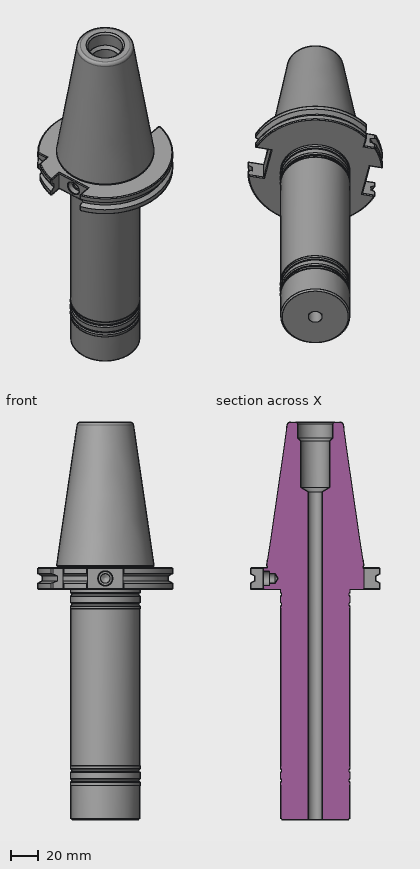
import cadquery as cq
import math

total_height = 286.5

taper_rate = 7 / 24
gauge_diameter = 70.0
gauge_height = 185.0
taper_bottom = 183.0
taper_edge_fillet = 2.5

undercut_depth = 0.5

flange_diameter = 97.5
flange_top = 181.7
flange_thickness = 15.8
flange_bottom = flange_top - flange_thickness
flange_edge_chamfer = 0.72

groove_height = 174.0
groove_floor_diameter = 91.0
groove_floor_width = 3.5
groove_flank_angle = 30.0

slot_width = 25.8
slot_floor_back = 35.3
slot_floor_front = 37.5
notch_wall_x = 30.5
notch_wall_y = 29.8

side_hole_height = groove_height
side_mouth_diameter = 11.0
side_counterbore_diameter = 10.0
side_counterbore_depth = 4.5
side_hole_diameter = 7.0
side_hole_depth = 8.5
drill_point_angle = 118.0

shank_diameter = 50.0
shank_end_chamfer = 1.1
band_diameter = 50.5
upper_band = (152.0, flange_bottom + flange_thickness / 2)
lower_band = (24.6, 39.3)
ring_groove_heights = (162.5, 155.3, 35.5, 28.5)
ring_groove_width = 3.0
ring_groove_floor_width = 1.1
ring_groove_depth = 1.0

bore_mouth_diameter = 27.5
counterbore_diameter = 25.0
counterbore_depth = 11.5
thread_hole_diameter = 20.5
thread_hole_depth = 47.0
through_hole_diameter = 10.0


def cone_height(large_diameter, small_diameter, included_angle):
    """Height of a cone between two diameters."""
    return (large_diameter - small_diameter) / 2 / math.tan(math.radians(included_angle / 2))


def revolve_profile(points):
    """Solid of revolution about Z from (radius, height) points."""
    return cq.Workplane("XZ").polyline(points).close().revolve(360, (0, 0), (0, 1))


def cylinder(diameter, bottom, top):
    return cq.Workplane("XY").workplane(offset=bottom).circle(diameter / 2).extrude(top - bottom)


def make_taper():
    gauge_radius = gauge_diameter / 2
    top_radius = gauge_radius - (total_height - gauge_height) * taper_rate / 2
    bottom_radius = gauge_radius + (gauge_height - taper_bottom) * taper_rate / 2
    neck_radius = bottom_radius - undercut_depth
    neck_top = taper_bottom - undercut_depth
    taper = revolve_profile([
        (0, flange_bottom),
        (neck_radius, flange_bottom),
        (neck_radius, neck_top),
        (bottom_radius, taper_bottom),
        (top_radius, total_height),
        (0, total_height),
    ])
    return taper.faces(">Z").edges().fillet(taper_edge_fillet)


def make_flange():
    rim = flange_diameter / 2
    flange = cylinder(flange_diameter, flange_bottom, flange_top)

    def rim_cut(x_min, x_max, y_min, y_max):
        return (
            cq.Workplane("XY")
            .box(x_max - x_min, y_max - y_min, flange_thickness, centered=False)
            .translate((x_min, y_min, flange_bottom))
        )

    flange = flange.cut(rim_cut(-slot_width / 2, slot_width / 2, slot_floor_back, rim))
    flange = flange.cut(rim_cut(-slot_width / 2, slot_width / 2, -rim, -slot_floor_front))
    flange = flange.cut(rim_cut(-rim, -notch_wall_x, -rim, -notch_wall_y))
    def is_rim_corner(edge):
        center = edge.Center()
        on_rim = math.hypot(center.x, center.y) > rim - flange_edge_chamfer
        return on_rim and abs(center.y) > slot_width / 2

    flange = flange.edges("|Z").filter(is_rim_corner).chamfer(flange_edge_chamfer)
    flange = flange.faces("<Z or >Z").edges().chamfer(flange_edge_chamfer)

    floor_radius = groove_floor_diameter / 2
    half_floor = groove_floor_width / 2
    half_mouth = half_floor + (rim - floor_radius) * math.tan(math.radians(groove_flank_angle))
    gripper_groove = revolve_profile([
        (floor_radius, groove_height - half_floor),
        (rim, groove_height - half_mouth),
        (rim, groove_height + half_mouth),
        (floor_radius, groove_height + half_floor),
    ])
    return flange.cut(gripper_groove)


def make_shank():
    shank_radius = shank_diameter / 2
    band_radius = band_diameter / 2
    band_step = band_radius - shank_radius
    shank = cylinder(shank_diameter, 0, flange_bottom)
    shank = shank.faces("<Z").edges().chamfer(shank_end_chamfer)
    for bottom, top in (upper_band, lower_band):
        shank = shank.union(revolve_profile([
            (0, bottom),
            (shank_radius, bottom),
            (band_radius, bottom + band_step),
            (band_radius, top - band_step),
            (shank_radius, top),
            (0, top),
        ]))
    for height in ring_groove_heights:
        shank = shank.cut(revolve_profile([
            (band_radius - ring_groove_depth, height + ring_groove_floor_width / 2),
            (band_radius - ring_groove_depth, height - ring_groove_floor_width / 2),
            (band_radius, height - ring_groove_width / 2),
            (band_radius, height + ring_groove_width / 2),
        ]))
    return shank


def make_bore():
    mouth_chamfer = (bore_mouth_diameter - counterbore_diameter) / 2
    step_chamfer = (counterbore_diameter - thread_hole_diameter) / 2
    counterbore_floor = total_height - counterbore_depth
    thread_floor = total_height - thread_hole_depth
    point_height = cone_height(thread_hole_diameter, through_hole_diameter, drill_point_angle)
    return revolve_profile([
        (0, 0),
        (through_hole_diameter / 2, 0),
        (through_hole_diameter / 2, thread_floor - point_height),
        (thread_hole_diameter / 2, thread_floor),
        (thread_hole_diameter / 2, counterbore_floor - step_chamfer),
        (counterbore_diameter / 2, counterbore_floor),
        (counterbore_diameter / 2, total_height - mouth_chamfer),
        (bore_mouth_diameter / 2, total_height),
        (0, total_height),
    ])


def make_side_hole():
    mouth_chamfer = (side_mouth_diameter - side_counterbore_diameter) / 2
    tip = side_hole_depth + cone_height(side_hole_diameter, 0, drill_point_angle)
    hole = revolve_profile([
        (0, 0),
        (side_mouth_diameter / 2, 0),
        (side_counterbore_diameter / 2, mouth_chamfer),
        (side_counterbore_diameter / 2, side_counterbore_depth),
        (side_hole_diameter / 2, side_counterbore_depth),
        (side_hole_diameter / 2, side_hole_depth),
        (0, tip),
    ])
    hole = hole.rotate((0, 0, 0), (1, 0, 0), -90)
    return hole.translate((0, -slot_floor_front, side_hole_height))


result = make_taper().union(make_flange()).union(make_shank())
result = result.cut(make_bore()).cut(make_side_hole())